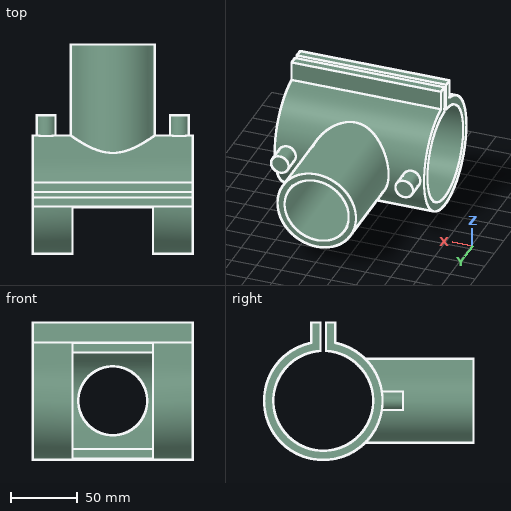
import cadquery as cq

clamp_length = 120.0
wall = 7.0
clamp_outer_radius = 44.5
clamp_inner_radius = clamp_outer_radius - wall
overall_depth = 157.0

ear_top = 58.7
ear_thickness = wall
slit_width = 4.0
ears_width = slit_width + 2 * ear_thickness

branch_radius = 31.5
branch_bore_radius = 25.7
branch_end = overall_depth - clamp_outer_radius

window_length = clamp_length / 2
window_back = -9.7

peg_radius = 7.0
peg_end = 59.7
peg_offset = 50.0


def cylinder_along_x(radius, length):
    """Cylinder centred on the origin with its axis along X."""
    return cq.Workplane("YZ").circle(radius).extrude(length / 2, both=True)


def cylinder_along_y(radius, end, x=0):
    """Cylinder from the clamp axis plane to the given Y."""
    return cq.Workplane("XZ").center(x, 0).circle(radius).extrude(-end)


def box_above_axis(width, height):
    """Full-length box standing on the clamp axis, centred in Y."""
    return cq.Workplane("XY").rect(clamp_length, width).extrude(height)


body = cylinder_along_x(clamp_outer_radius, clamp_length)
body = body.union(box_above_axis(ears_width, ear_top))
body = body.union(cylinder_along_y(branch_radius, branch_end))
for peg_x in (-peg_offset, peg_offset):
    body = body.union(cylinder_along_y(peg_radius, peg_end, peg_x))

body = body.cut(cylinder_along_x(clamp_inner_radius, clamp_length))
body = body.cut(box_above_axis(slit_width, ear_top))
body = body.cut(cylinder_along_y(branch_bore_radius, branch_end))

window = cq.Workplane("XY").box(
    window_length,
    clamp_outer_radius + window_back,
    2 * clamp_outer_radius,
).translate((0, (window_back - clamp_outer_radius) / 2, 0))
result = body.cut(window)